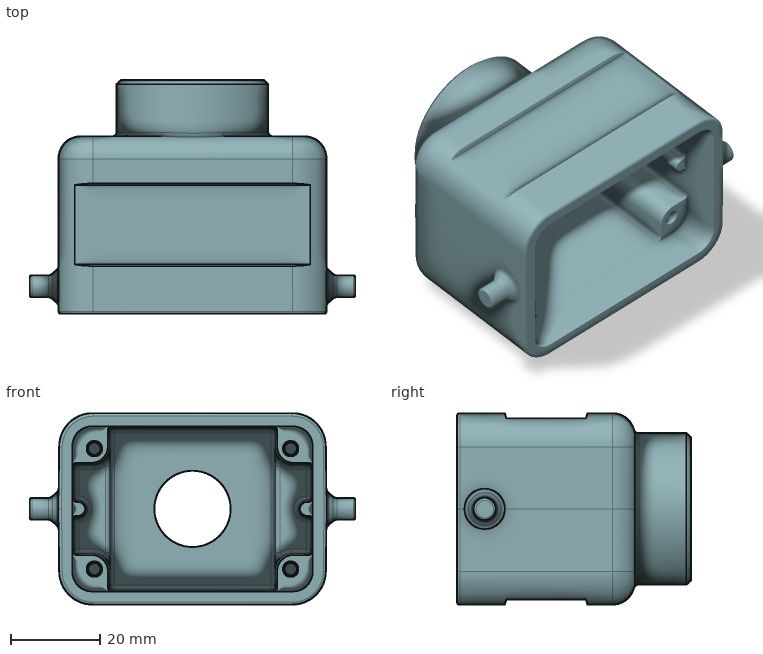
import cadquery as cq
import math


hood_height = 43.0
hood_half_width = 30.1
side_edge_half_width = 29.85
hood_depth = 39.85
hood_corner_radius = 7.6
hood_end_radius = 5.05
rim_radius = 0.65

overall_depth = 52.5
boss_diameter = 34.1
boss_end_chamfer = 1.0
boss_base_radius = 0.9
entry_diameter = boss_diameter / 2

mouth_width = 53.95
mouth_height = 37.1
mouth_corner_radius = 4.5
mouth_depth = 8.75
draft_angle = 1.0
inner_radius = 1.0
well_width = 38.0
well_floor = 36.5
shelf_height = 20.7
shelf_floor = 33.0

post_corner_radius = 3.5
screw_spacing_x = 44.0
screw_spacing_z = 27.0
screw_hole_diameter = 3.5
screw_hole_depth = 21.9
rib_front = 9.3
rib_radius = 1.5
rib_centre_x = 25.6

recess_depth = 1.2
recess_centre_y = 20.0
recess_width = 18.55
recess_floor_width = 17.8

pin_span = 73.0
pin_y = 6.2
pin_radius = 2.5
pin_end_radius = 0.5
flare_radius = 4.0
flare_length = 1.75
flare_blend = 0.5


def facing_back(y):
    """Workplane at depth y whose normal points along +Y."""
    return cq.Workplane(cq.Plane(origin=(0, y, 0), xDir=(-1, 0, 0), normal=(0, 1, 0)))


def edges_near(x, z, y_end):
    """Selector for the four lengthwise edges that have their middle near (+-x, +-z)."""
    reach = 0.7
    selector = None
    for side in (-1, 1):
        for level in (-1, 1):
            box = cq.selectors.BoxSelector(
                (side * x - reach, mouth_depth + reach, level * z - reach),
                (side * x + reach, y_end - reach, level * z + reach),
            )
            selector = box if selector is None else selector + box
    return selector


def make_hood():
    half_height = hood_height / 2
    hood = (
        facing_back(0)
        .moveTo(side_edge_half_width, half_height)
        .lineTo(-side_edge_half_width, half_height)
        .lineTo(-hood_half_width, 0)
        .lineTo(-side_edge_half_width, -half_height)
        .lineTo(side_edge_half_width, -half_height)
        .lineTo(hood_half_width, 0)
        .close()
        .extrude(hood_depth)
    )
    corners = edges_near(side_edge_half_width, half_height, hood_depth)
    hood = hood.edges(corners).fillet(hood_corner_radius)
    hood = hood.faces(">Y").edges().fillet(hood_end_radius)
    return hood.faces("<Y").edges().fillet(rim_radius)


def add_boss(hood):
    boss = (
        facing_back(well_floor)
        .circle(boss_diameter / 2)
        .extrude(overall_depth - well_floor)
        .faces(">Y")
        .chamfer(boss_end_chamfer)
    )
    joined = hood.union(boss)
    reach = boss_diameter / 2 + 0.15
    base_edges = cq.selectors.BoxSelector(
        (-reach, hood_depth - 0.7, -reach), (reach, hood_depth + 0.7, reach), boundingbox=True
    )
    return joined.edges(base_edges).fillet(boss_base_radius)


def make_rib(side):
    """Half-round bar standing on the inside of one X side wall; it thickens with depth."""
    wall_x = mouth_width / 2 + 0.7
    return (
        facing_back(rib_front)
        .moveTo(side * wall_x, rib_radius)
        .lineTo(side * rib_centre_x, rib_radius)
        .threePointArc((side * (rib_centre_x - rib_radius), 0), (side * rib_centre_x, -rib_radius))
        .lineTo(side * wall_x, -rib_radius)
        .close()
        .extrude(shelf_floor - rib_front, taper=-draft_angle)
    )


def make_cavity():
    """Space behind the mouth: a deep well crossed by a shelf, leaving four corner posts."""
    start = facing_back(mouth_depth)
    well = start.rect(well_width, mouth_height).extrude(well_floor - mouth_depth, taper=draft_angle)
    shelf = start.rect(mouth_width, shelf_height).extrude(shelf_floor - mouth_depth, taper=draft_angle)
    cavity = well.union(shelf)
    for side in (-1, 1):
        cavity = cavity.cut(make_rib(side))

    post_corners = edges_near(well_width / 2, shelf_height / 2, shelf_floor)
    cavity = cavity.edges(post_corners).fillet(post_corner_radius)

    inner_edges = (
        edges_near(well_width / 2, mouth_height / 2, well_floor)
        + edges_near(mouth_width / 2, shelf_height / 2, shelf_floor)
        + edges_near(mouth_width / 2, rib_radius, shelf_floor)
    )
    for floor in (well_floor, shelf_floor):
        inner_edges = inner_edges + cq.selectors.BoxSelector(
            (-mouth_width, floor - 0.1, -mouth_height), (mouth_width, floor + 0.1, mouth_height)
        )
    return cavity.edges(inner_edges).fillet(inner_radius)


def make_mouth():
    return (
        facing_back(0)
        .rect(mouth_width, mouth_height)
        .extrude(mouth_depth)
        .edges("|Y")
        .fillet(mouth_corner_radius)
    )


def make_entry():
    return facing_back(mouth_depth).circle(entry_diameter / 2).extrude(overall_depth - mouth_depth)


def make_screw_holes():
    return (
        facing_back(mouth_depth)
        .rect(screw_spacing_x, screw_spacing_z, forConstruction=True)
        .vertices()
        .circle(screw_hole_diameter / 2)
        .extrude(screw_hole_depth, taper=draft_angle)
    )


def make_label_recess(level):
    """Channel across the full width of one Z side, with walls leaning outwards."""
    surface = level * hood_height / 2
    floor = surface - level * recess_depth
    return (
        cq.Workplane("YZ")
        .moveTo(recess_centre_y - recess_floor_width / 2, floor)
        .lineTo(recess_centre_y + recess_floor_width / 2, floor)
        .lineTo(recess_centre_y + recess_width / 2, surface)
        .lineTo(recess_centre_y - recess_width / 2, surface)
        .close()
        .extrude(hood_half_width, both=True)
    )


def make_pin(side):
    """Round latch pin on a cone that blends into both the pin and the hood side."""
    root_x = hood_half_width - 1.45
    tip_x = pin_span / 2
    cone_end_x = hood_half_width + flare_length
    cone_length = math.hypot(flare_length, flare_radius - pin_radius)
    along = flare_blend * flare_length / cone_length
    across = flare_blend * (flare_radius - pin_radius) / cone_length
    profile = (
        cq.Workplane("XY", origin=(0, pin_y, 0))
        .moveTo(root_x, 0)
        .lineTo(tip_x, 0)
        .lineTo(tip_x, pin_radius - pin_end_radius)
        .radiusArc((tip_x - pin_end_radius, pin_radius), -pin_end_radius)
        .lineTo(cone_end_x + flare_blend, pin_radius)
        .tangentArcPoint((cone_end_x - along, pin_radius + across), relative=False)
        .lineTo(hood_half_width + along, flare_radius - across)
        .tangentArcPoint((hood_half_width, flare_radius + flare_blend), relative=False)
        .lineTo(root_x, flare_radius + flare_blend)
        .close()
    )
    pin = profile.revolve(360, (0, 0, 0), (1, 0, 0))
    return pin if side > 0 else pin.mirror("YZ")


result = add_boss(make_hood())
for side in (-1, 1):
    result = result.union(make_pin(side))
    result = result.cut(make_label_recess(side))
result = result.cut(make_mouth()).cut(make_cavity()).cut(make_entry()).cut(make_screw_holes())